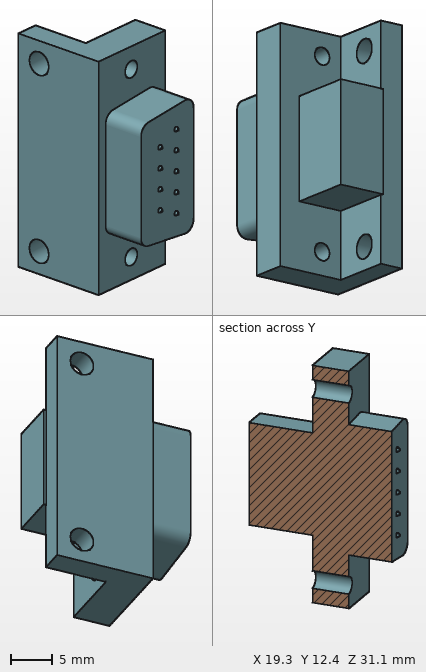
import cadquery as cq
import math

bracket_height = 31.1
bracket_width = 12.93
bracket_depth = 12.42
wall_thickness = 3.22
flange_thickness = 4.84
flange_back_x = bracket_width - flange_thickness
mid_depth = bracket_depth / 2

hole_spacing = 25.0
wall_hole_diameter = 3.1
wall_hole_x = 3.35
flange_hole_diameter = 2.25
flange_hole_y = 6.07

body_height = 13.46
body_front_y = 3.12
body_back_y = 9.55
body_overhang = 0.32
body_mid_y = (body_front_y + body_back_y) / 2

plug_length = 5.7
plug_depth = 9.79
plug_wide_height = 17.77
plug_side_angle = 5.5
plug_corner_radius = 1.5
plug_end_x = bracket_width + plug_length

pin_pitch = 2.8
pin_row_spacing = 3.0
pin_radius = 0.32
pin_end_radius = 0.12
pin_tip_length = 0.34
wide_row_count = 5
narrow_row_count = 4


def make_bracket():
    outline = [
        (0, 0),
        (bracket_width, 0),
        (bracket_width, bracket_depth),
        (flange_back_x, bracket_depth),
        (flange_back_x, wall_thickness),
        (0, wall_thickness),
    ]
    return (
        cq.Workplane("XY")
        .workplane(offset=-bracket_height / 2)
        .polyline(outline)
        .close()
        .extrude(bracket_height)
    )


def make_mounting_holes():
    wall_hole = cq.Solid.makeCylinder(
        wall_hole_diameter / 2, wall_thickness, cq.Vector(wall_hole_x, 0, 0), cq.Vector(0, 1, 0)
    )
    flange_hole = cq.Solid.makeCylinder(
        flange_hole_diameter / 2,
        flange_thickness,
        cq.Vector(flange_back_x, flange_hole_y, 0),
        cq.Vector(1, 0, 0),
    )
    holes = cq.Workplane("XY")
    for z in (-hole_spacing / 2, hole_spacing / 2):
        for hole in (wall_hole, flange_hole):
            holes = holes.add(hole.translate(cq.Vector(0, 0, z)))
    return holes.combine()


def make_body():
    return cq.Workplane("XY").box(
        body_overhang + flange_back_x,
        body_back_y - body_front_y,
        body_height,
        centered=(False, False, True),
    ).translate((-body_overhang, body_front_y, 0))


def make_plug():
    angle = math.radians(plug_side_angle)
    corner_gain = plug_corner_radius * (math.tan(angle) + 1 / math.cos(angle) - 1)
    wide_half = plug_wide_height / 2 + corner_gain
    narrow_half = wide_half - plug_depth * math.tan(angle)
    near_y = mid_depth - plug_depth / 2
    far_y = mid_depth + plug_depth / 2
    outline = [
        (near_y, -narrow_half),
        (far_y, -wide_half),
        (far_y, wide_half),
        (near_y, narrow_half),
    ]
    return (
        cq.Workplane("YZ")
        .workplane(offset=bracket_width)
        .polyline(outline)
        .close()
        .extrude(plug_length)
        .edges("|X")
        .fillet(plug_corner_radius)
    )


def make_pin_row(count, y):
    row = cq.Workplane("XY")
    for index in range(count):
        z = (index - (count - 1) / 2) * pin_pitch
        tip = cq.Solid.makeCone(
            pin_radius, pin_end_radius, pin_tip_length, cq.Vector(plug_end_x, y, z), cq.Vector(1, 0, 0)
        )
        row = row.add(tip)
    return row.combine()


result = (
    make_bracket()
    .cut(make_mounting_holes())
    .union(make_body())
    .union(make_plug())
    .union(make_pin_row(wide_row_count, body_mid_y + pin_row_spacing / 2))
    .union(make_pin_row(narrow_row_count, body_mid_y - pin_row_spacing / 2))
)